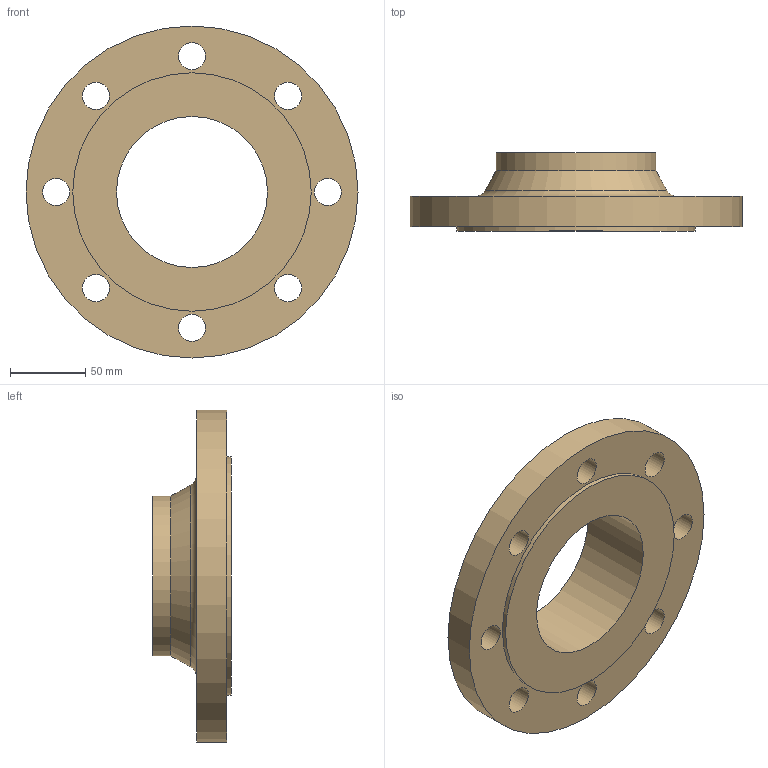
import cadquery as cq
import math

flange_diameter = 220.0
flange_thickness = 20.0
overall_length = 52.0

raised_face_diameter = 158.0
raised_face_height = 3.0

bore_diameter = 100.0
neck_end_diameter = 106.0
neck_straight_length = 12.0
neck_base_diameter = 125.0
neck_fillet_radius = 8.0

bolt_circle_diameter = 180.0
bolt_hole_diameter = 18.0
bolt_hole_count = 8

plate_front = raised_face_height
plate_back = plate_front + flange_thickness
taper_end = overall_length - neck_straight_length


def revolved_body():
    """Ring-shaped flange body turned about the Y axis, with a fillet at the neck root."""
    flange_radius = flange_diameter / 2
    raised_face_radius = raised_face_diameter / 2
    bore_radius = bore_diameter / 2
    neck_end_radius = neck_end_diameter / 2
    neck_base_radius = neck_base_diameter / 2

    taper_angle = math.atan2(taper_end - plate_back, neck_base_radius - neck_end_radius)
    tangent_length = neck_fillet_radius * math.tan(taper_angle / 2)
    fillet_on_plate = (plate_back, neck_base_radius + tangent_length)
    fillet_on_taper = (
        plate_back + tangent_length * math.sin(taper_angle),
        neck_base_radius - tangent_length * math.cos(taper_angle),
    )
    fillet_middle = (
        plate_back + neck_fillet_radius * (1 - math.cos(taper_angle / 2)),
        fillet_on_plate[1] - neck_fillet_radius * math.sin(taper_angle / 2),
    )

    return (
        cq.Workplane("YZ")
        .moveTo(0, bore_radius)
        .lineTo(0, raised_face_radius)
        .lineTo(plate_front, raised_face_radius)
        .lineTo(plate_front, flange_radius)
        .lineTo(plate_back, flange_radius)
        .lineTo(*fillet_on_plate)
        .threePointArc(fillet_middle, fillet_on_taper)
        .lineTo(taper_end, neck_end_radius)
        .lineTo(overall_length, neck_end_radius)
        .lineTo(overall_length, bore_radius)
        .close()
        .revolve(360, (0, 0, 0), (1, 0, 0))
    )


def bolt_holes():
    """Cylinders along Y through the plate, one of them at +X on the bolt circle."""
    return (
        cq.Workplane("XZ")
        .polarArray(bolt_circle_diameter / 2, 0, 360, bolt_hole_count)
        .circle(bolt_hole_diameter / 2)
        .extrude(-overall_length)
    )


result = revolved_body().cut(bolt_holes())